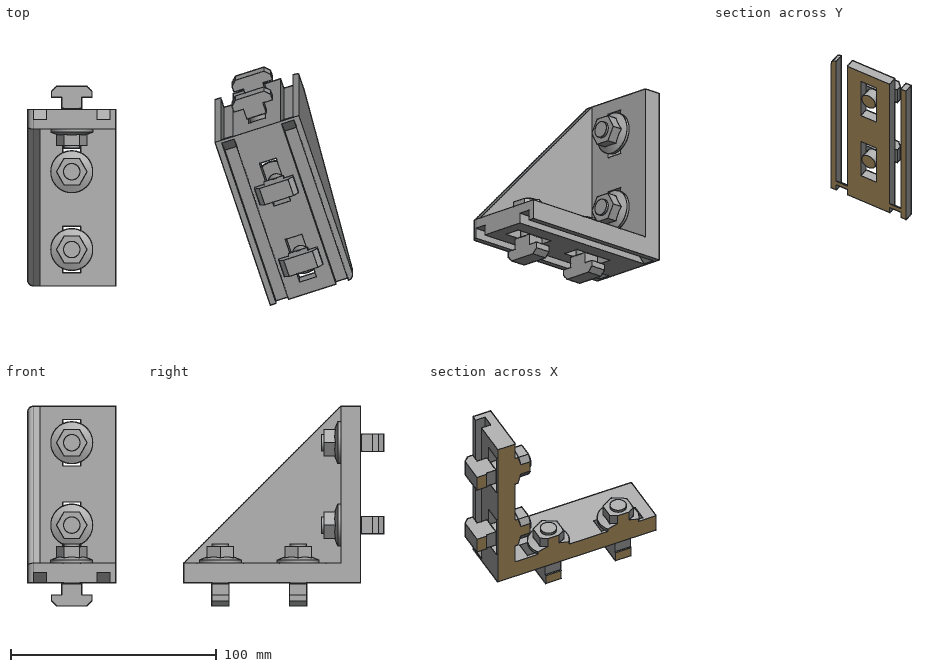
import cadquery as cq
import math

WIDTH = 43.0
LEG_LENGTH = 86.0
PLATE_THICKNESS = 9.6
PANEL_THICKNESS = 6.0
EDGE_RADIUS = PANEL_THICKNESS / 2

GROOVE_WIDTH = 6.3
GROOVE_DEPTH = 5.1
GROOVE_EDGE_MARGIN = EDGE_RADIUS
CORNER_WEB = 1.9

SLOT_WIDTH = 8.6
SLOT_LENGTH = 22.5
SLOT_PITCH = 40.1
INNER_SLOT = 28.1
OUTER_SLOT = INNER_SLOT + SLOT_PITCH

LEVEL_BOLT_SHIFT = 2.2

SHANK_DIAMETER = 8.0
SHANK_END = 9.3
HEAD_THICKNESS = 8.6
NECK_WIDTH = 9.9
NECK_GAP = 0.5
HEAD_WIDTH = 19.8
HEAD_SHOULDER = 5.8
HEAD_END = 11.3
HEAD_CHAMFER = 2.5

FLANGE_DIAMETER = 20.4
FLANGE_RIM = 1.5
CONE_TOP = 3.0
CONE_TOP_DIAMETER = 12.65
HEX_ACROSS_FLATS = 12.9
HEX_TOP = 8.1
HEX_ACROSS_CORNERS = HEX_ACROSS_FLATS / math.cos(math.radians(30))

LEVEL_LEG = cq.Plane(origin=(WIDTH / 2, 0, 0), xDir=(-1, 0, 0), normal=(0, 0, 1))
UPRIGHT_LEG = cq.Plane(origin=(WIDTH / 2, 0, 0), xDir=(1, 0, 0), normal=(0, -1, 0))


def side_outline(points):
    """Closed outline in the YZ plane from (distance toward -Y, height) pairs."""
    return cq.Workplane("YZ").polyline([(-depth, height) for depth, height in points]).close()


def make_body():
    angle = side_outline([
        (0, 0),
        (LEG_LENGTH, 0),
        (LEG_LENGTH, PLATE_THICKNESS),
        (PLATE_THICKNESS, PLATE_THICKNESS),
        (PLATE_THICKNESS, LEG_LENGTH),
        (0, LEG_LENGTH),
    ]).extrude(WIDTH)
    panel = side_outline([
        (0, 0),
        (LEG_LENGTH, 0),
        (LEG_LENGTH, PLATE_THICKNESS),
        (PLATE_THICKNESS, LEG_LENGTH),
        (0, LEG_LENGTH),
    ]).extrude(PANEL_THICKNESS)
    margin = EDGE_RADIUS / 2
    free_edges = cq.selectors.BoxSelector(
        (-margin, -LEG_LENGTH - margin, margin), (margin, -margin, LEG_LENGTH + margin)
    )
    return angle.union(panel).edges(free_edges).fillet(EDGE_RADIUS)


def make_groove(leg, side):
    """Groove along one edge of a leg; its inner end is cut parallel to the corner mitre."""
    start = CORNER_WEB / math.sqrt(2)
    across = side * (WIDTH / 2 - GROOVE_EDGE_MARGIN - GROOVE_WIDTH / 2)
    section = cq.Plane(
        origin=leg.toWorldCoords((across - GROOVE_WIDTH / 2, 0, 0)), xDir=leg.yDir, normal=leg.xDir
    )
    return (
        cq.Workplane(section)
        .polyline([
            (start, 0),
            (LEG_LENGTH, 0),
            (LEG_LENGTH, GROOVE_DEPTH),
            (start + GROOVE_DEPTH, GROOVE_DEPTH),
        ])
        .close()
        .extrude(GROOVE_WIDTH)
    )


def make_slots(leg):
    return (
        cq.Workplane(leg)
        .pushPoints([(0, INNER_SLOT), (0, OUTER_SLOT)])
        .rect(SLOT_WIDTH, SLOT_LENGTH)
        .extrude(PLATE_THICKNESS)
    )


def make_t_head():
    """T-shaped head below the outer plate face: half the outline, mirrored about the bolt axis."""
    return (
        cq.Workplane("XZ")
        .moveTo(0, -NECK_GAP)
        .lineTo(NECK_WIDTH / 2, -NECK_GAP)
        .lineTo(NECK_WIDTH / 2, -HEAD_SHOULDER)
        .lineTo(HEAD_WIDTH / 2, -HEAD_SHOULDER)
        .lineTo(HEAD_WIDTH / 2, -HEAD_END + HEAD_CHAMFER)
        .lineTo(HEAD_WIDTH / 2 - HEAD_CHAMFER, -HEAD_END)
        .lineTo(0, -HEAD_END)
        .mirrorY()
        .extrude(HEAD_THICKNESS / 2, both=True)
    )


def make_nut():
    flange = (
        cq.Workplane("XZ")
        .polyline([
            (0, 0),
            (FLANGE_DIAMETER / 2, 0),
            (FLANGE_DIAMETER / 2, FLANGE_RIM),
            (CONE_TOP_DIAMETER / 2, CONE_TOP),
            (0, CONE_TOP),
        ])
        .close()
        .revolve(360, (0, 0), (0, 1))
    )
    hexagon = cq.Workplane("XY").polygon(6, HEX_ACROSS_CORNERS).extrude(HEX_TOP)
    return flange.union(hexagon).translate((0, 0, PLATE_THICKNESS))


def make_bolt():
    shank_length = NECK_GAP + PLATE_THICKNESS + SHANK_END
    shank = cq.Workplane("XY", origin=(0, 0, -NECK_GAP)).circle(SHANK_DIAMETER / 2).extrude(shank_length)
    return make_t_head().union(shank).union(make_nut())


def place_bolt(leg, distance):
    seat = cq.Plane(origin=leg.toWorldCoords((0, distance, 0)), xDir=leg.xDir, normal=leg.zDir)
    return cq.Workplane(make_bolt().val().moved(cq.Location(seat)))


bolt_distances = [
    (LEVEL_LEG, INNER_SLOT + LEVEL_BOLT_SHIFT),
    (LEVEL_LEG, OUTER_SLOT),
    (UPRIGHT_LEG, INNER_SLOT),
    (UPRIGHT_LEG, OUTER_SLOT),
]

result = make_body()
for leg in (LEVEL_LEG, UPRIGHT_LEG):
    result = result.cut(make_slots(leg))
    for side in (-1, 1):
        result = result.cut(make_groove(leg, side))
for leg, distance in bolt_distances:
    result = result.union(place_bolt(leg, distance))